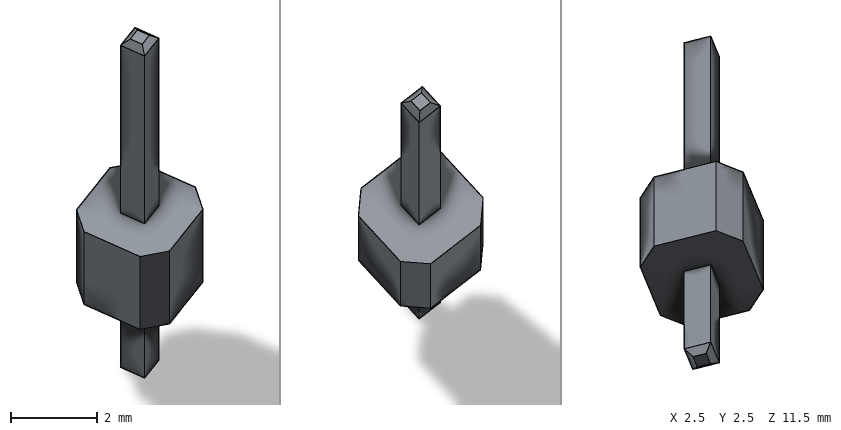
import cadquery as cq

total_length = 11.54
body_width = 2.5
body_height = 2.54
body_corner = 0.5

pin_width = 0.65
lower_pin_length = 3.0
tip_chamfer = 0.16


def make_body():
    """Square insulator with chamfered vertical edges."""
    return (
        cq.Workplane("XY", origin=(0, 0, lower_pin_length))
        .rect(body_width, body_width)
        .extrude(body_height)
        .edges("|Z")
        .chamfer(body_corner)
    )


def make_pin():
    """Full-length square pin, tapered to a small flat at both ends."""
    return (
        cq.Workplane("XY")
        .rect(pin_width, pin_width)
        .extrude(total_length)
        .faces("<Z or >Z")
        .edges()
        .chamfer(tip_chamfer)
    )


result = make_body().union(make_pin())